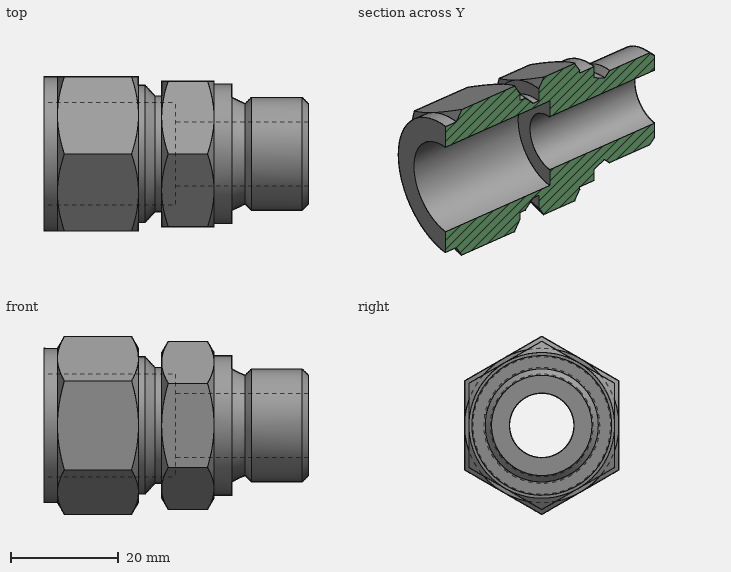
import cadquery as cq
import math


length = 49.0
collar_end = 2.5
nut_end = 17.5
shoulder_end = 18.7
taper_end = 20.55
body_hex_start = 21.8
body_hex_end = 31.5
flange_end = 34.8
groove_bottom = 37.25

nut_across_flats = 28.6
body_hex_across_flats = 27.0
hex_chamfer_angle = 30.0

collar_diameter = nut_across_flats
shoulder_diameter = 25.5
neck_diameter = 21.5
flange_diameter = 25.9
thread_diameter = 20.955
thread_chamfer = 1.18

socket_diameter = 19.05
socket_depth = 24.4
through_diameter = 11.9


def turned(profile):
    """Solid of revolution about X from (x, radius) points, closed along the axis."""
    closed = [(profile[0][0], 0), *profile, (profile[-1][0], 0)]
    return cq.Workplane("XY").polyline(closed).close().revolve(360, (0, 0, 0), (1, 0, 0))


def cylinder(start, end, diameter):
    """Cylinder on the X axis between two stations."""
    return turned([(start, diameter / 2), (end, diameter / 2)])


def chamfered_hex(start, end, across_flats):
    """Hexagon with corners up and down, both ends turned to a cone that starts at the flats."""
    flat_radius = across_flats / 2
    corner_radius = flat_radius / math.cos(math.radians(30))
    chamfer_length = (corner_radius - flat_radius) * math.tan(math.radians(hex_chamfer_angle))
    prism = (
        cq.Workplane("YZ", origin=(start, 0, 0))
        .polygon(6, 2 * corner_radius)
        .extrude(end - start)
        .rotate((0, 0, 0), (1, 0, 0), 90)
    )
    envelope = turned([
        (start, flat_radius),
        (start + chamfer_length, corner_radius),
        (end - chamfer_length, corner_radius),
        (end, flat_radius),
    ])
    return prism.intersect(envelope)


def coupling_nut():
    """Hexagonal nut with a round collar on its tube side."""
    collar = cylinder(0, collar_end, collar_diameter)
    return collar.union(chamfered_hex(collar_end, nut_end, nut_across_flats))


def fitting_body():
    """Shoulder and neck, wrench hexagon, sealing flange and male thread stub."""
    thread_radius = thread_diameter / 2
    root_radius = thread_radius - thread_chamfer
    neck = turned([
        (nut_end, shoulder_diameter / 2),
        (shoulder_end, shoulder_diameter / 2),
        (taper_end, neck_diameter / 2),
        (body_hex_start, neck_diameter / 2),
    ])
    wrench_hex = chamfered_hex(body_hex_start, body_hex_end, body_hex_across_flats)
    flange = cylinder(body_hex_end, flange_end, flange_diameter)
    thread_stub = turned([
        (flange_end, thread_radius),
        (groove_bottom, root_radius),
        (groove_bottom + thread_chamfer, thread_radius),
        (length - thread_chamfer, thread_radius),
        (length, root_radius),
    ])
    return neck.union(wrench_hex).union(flange).union(thread_stub)


def stepped_bore():
    """Tube socket that steps down to the through passage."""
    socket = cylinder(0, socket_depth, socket_diameter)
    return socket.union(cylinder(0, length, through_diameter))


result = coupling_nut().union(fitting_body()).cut(stepped_bore())